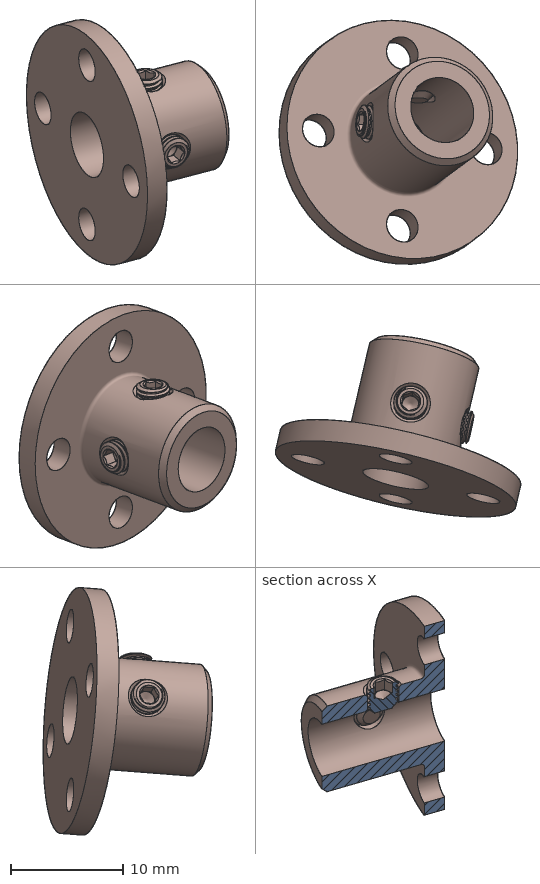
import cadquery as cq
import math


flange_diameter = 22.0
flange_thickness = 2.0
hub_diameter = 10.0
total_length = 12.0
bore_diameter = 6.0
hub_end_chamfer = 0.5
hub_base_fillet = 0.3

bolt_hole_count = 4
bolt_hole_diameter = 3.0
bolt_circle_radius = 8.0

thread_diameter = 3.0
thread_root_diameter = 2.53
thread_pitch = 0.5
thread_half_angle = 30.0
root_flat = thread_pitch / 4
thread_start_drop = 0.15
screw_length = 3.0
screw_outer_end = 5.52
screw_inner_end = screw_outer_end - screw_length
screw_position = total_length / 2
screw_end_diameter = 2.35
screw_end_chamfer_height = 0.18
screw_tip_diameter = 1.67
socket_flats = 1.5
socket_depth = 1.2
socket_mouth_diameter = 1.8
socket_point_angle = 118.0
screw_hole_chamfer = 0.29

diagonal_axis = (1, 0, 1)
screw_turns = [0, 180]


def place_screw_shape(shape, turn):
    """Move a shape built along Z from the origin to its station on the hub."""
    return shape.rotate((0, 0, 0), diagonal_axis, turn).translate((0, screw_position, 0))


def make_hub():
    flange = cq.Workplane("XZ").circle(flange_diameter / 2).extrude(-flange_thickness)
    barrel = cq.Workplane("XZ").circle(hub_diameter / 2).extrude(-total_length)
    barrel = barrel.faces(">Y").edges().chamfer(hub_end_chamfer)
    hub = flange.union(barrel)

    base_edge = cq.selectors.RadiusNthSelector(0)
    base_face = hub.faces(cq.selectors.NearestToPointSelector((hub_diameter, flange_thickness, 0)))
    hub = base_face.edges(base_edge).fillet(hub_base_fillet)

    bore = cq.Workplane("XZ").circle(bore_diameter / 2).extrude(-total_length)
    bolt_holes = (
        cq.Workplane("XZ")
        .polarArray(bolt_circle_radius, 0, 360, bolt_hole_count)
        .circle(bolt_hole_diameter / 2)
        .extrude(-flange_thickness)
    )
    hub = hub.cut(bore).cut(bolt_holes)

    for turn in screw_turns:
        hole = cq.Workplane("XY").circle(thread_diameter / 2).extrude(flange_diameter / 2)
        hub = hub.cut(place_screw_shape(hole, turn))
    return chamfer_screw_holes(hub)


def chamfer_screw_holes(hub):
    """Break the curved edge where each screw hole leaves the hub."""
    hub_radius = hub_diameter / 2
    for rim_direction in [(0, 0, hub_radius), (hub_radius, 0, 0)]:
        rim_point = cq.Vector(rim_direction) + cq.Vector(0, screw_position, 0)
        rim = hub.edges(cq.selectors.NearestToPointSelector(rim_point.toTuple()))
        hub = rim.chamfer(screw_hole_chamfer)
    return hub


def make_thread_groove():
    """Helical V groove with a flat root, running past both ends of the screw."""
    root_radius = thread_root_diameter / 2
    margin = 0.07
    outer_radius = thread_diameter / 2 + margin
    flank_run = (outer_radius - root_radius) * math.tan(math.radians(thread_half_angle))
    root_half = root_flat / 2
    mouth_half = root_half + flank_run

    turns = math.ceil(screw_length / thread_pitch) + 2
    last_crest = screw_outer_end - thread_start_drop
    start = last_crest + 1.5 * thread_pitch - turns * thread_pitch
    helix = cq.Wire.makeHelix(thread_pitch, turns * thread_pitch, root_radius)
    profile = cq.Workplane("XZ").polyline([
        (root_radius, -root_half),
        (outer_radius, -mouth_half),
        (outer_radius, mouth_half),
        (root_radius, root_half),
    ]).close()
    groove = profile.sweep(cq.Workplane(obj=helix), isFrenet=True)
    return groove.translate((0, 0, start))


def make_socket():
    """Hexagonal socket with a countersunk mouth and a conical bottom."""
    corner_diameter = socket_flats / math.cos(math.radians(30))
    floor = screw_outer_end - socket_depth
    hexagon = (
        cq.Workplane("XY", origin=(0, 0, floor))
        .transformed(rotate=(0, 0, 30))
        .polygon(6, corner_diameter)
        .extrude(socket_depth)
    )
    flat_radius = socket_flats / 2
    point_depth = flat_radius / math.tan(math.radians(socket_point_angle / 2))
    point = cq.Workplane(obj=cq.Solid.makeCone(
        flat_radius, 0, point_depth, pnt=cq.Vector(0, 0, floor), dir=cq.Vector(0, 0, -1)))
    mouth_radius = socket_mouth_diameter / 2
    mouth_depth = mouth_radius - flat_radius
    mouth = cq.Workplane(obj=cq.Solid.makeCone(
        flat_radius, mouth_radius, mouth_depth,
        pnt=cq.Vector(0, 0, screw_outer_end - mouth_depth)))
    return hexagon.union(point).union(mouth)


def make_screw():
    """Set screw along Z, with its pointed end toward the hub axis."""
    thread_radius = thread_diameter / 2
    tip_radius = screw_tip_diameter / 2
    tip_height = thread_radius - tip_radius
    envelope = cq.Workplane("XZ").polyline([
        (0, screw_inner_end),
        (tip_radius, screw_inner_end),
        (thread_radius, screw_inner_end + tip_height),
        (thread_radius, screw_outer_end - screw_end_chamfer_height),
        (screw_end_diameter / 2, screw_outer_end),
        (0, screw_outer_end),
    ]).close().revolve(360, (0, 0), (0, 1))
    bar = cq.Workplane("XY").circle(thread_radius).extrude(2 * screw_outer_end)
    threaded_bar = bar.cut(make_thread_groove())
    return threaded_bar.intersect(envelope).cut(make_socket())


hub = make_hub()
screw = make_screw()
set_screws = [place_screw_shape(screw, turn).solids().val() for turn in screw_turns]

result = cq.Compound.makeCompound([hub.solids().val(), *set_screws])